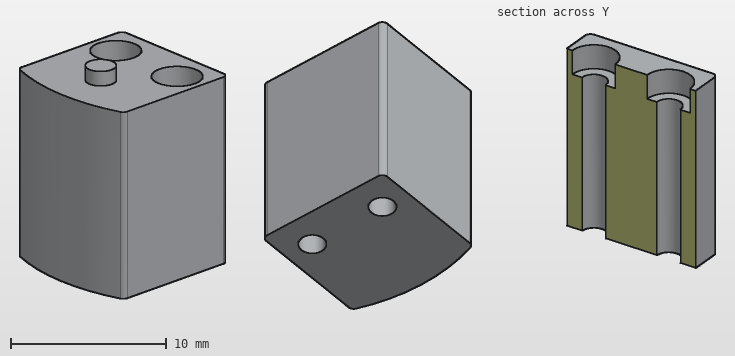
import cadquery as cq
import math

width = 10.0
depth = 10.0
pin_protrusion = 1.01
overall_height = 14.0
housing_height = overall_height - pin_protrusion
front_radius = 14.0
corner_radius = 0.4

screw_hole_diameter = 1.8
counterbore_diameter = 3.3
counterbore_depth = 1.75
screw_spacing = 5.8
screw_back_distance = 2.5

pin_diameter = 2.0
pin_back_distance = 6.5
pin_seat_depth = 2.0

back_y = depth / 2
front_y = -depth / 2
half_width = width / 2
front_bow = front_radius - math.sqrt(front_radius**2 - half_width**2)
front_corner_y = front_y + front_bow
screw_y = back_y - screw_back_distance
pin_y = back_y - pin_back_distance
pin_bottom_z = housing_height - pin_seat_depth


def make_block():
    """Extrude the outline and round its four upright edges."""
    return (
        cq.Workplane("XY")
        .moveTo(-half_width, back_y)
        .lineTo(-half_width, front_corner_y)
        .threePointArc((0, front_y), (half_width, front_corner_y))
        .lineTo(half_width, back_y)
        .close()
        .extrude(housing_height)
        .edges("|Z")
        .fillet(corner_radius)
    )


def make_pin():
    """Plain round pin from the bottom of its seat to the overall height."""
    return (
        cq.Workplane("XY", origin=(0, pin_y, pin_bottom_z))
        .circle(pin_diameter / 2)
        .extrude(pin_seat_depth + pin_protrusion)
    )


def make_housing(pin):
    """Block with two counterbored through holes and a seat that fits the pin."""
    screw_positions = [(side * screw_spacing / 2, screw_y) for side in (-1, 1)]
    drilled = (
        make_block()
        .faces(">Z")
        .workplane(origin=(0, 0, housing_height))
        .pushPoints(screw_positions)
        .cboreHole(screw_hole_diameter, counterbore_diameter, counterbore_depth)
    )
    return drilled.cut(pin)


pin = make_pin()
housing = make_housing(pin)

result = cq.Compound.makeCompound([housing.val(), pin.val()])